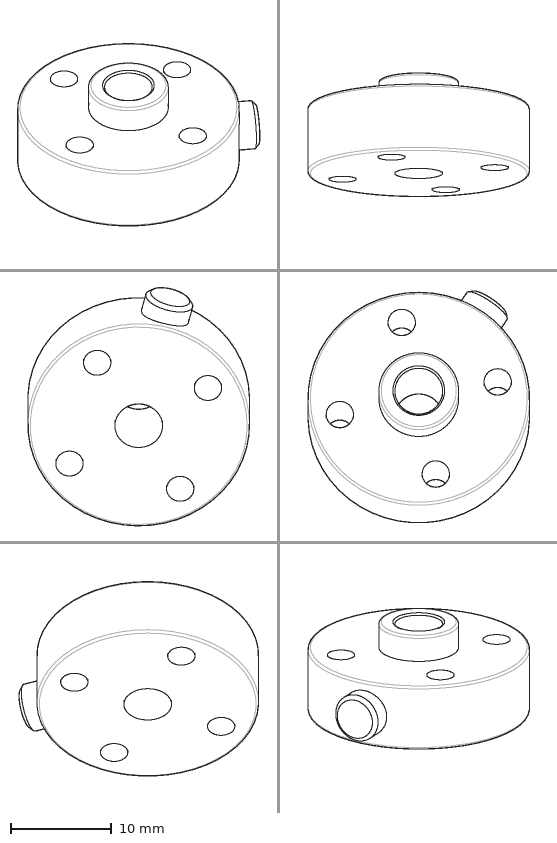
import cadquery as cq
import math

flange_diameter = 22.0
flange_height = 6.7
boss_diameter = 7.92
boss_height = 2.68
edge_fillet = 0.25
bore_diameter = 4.73
bore_chamfer = 0.2
total_height = flange_height + boss_height

mount_hole_diameter = 2.7
mount_hole_count = 4
mount_circle_radius = 8.0

screw_diameter = 4.82
screw_length = 9.9
screw_end_diameter = 4.0
screw_chamfer = (screw_diameter - screw_end_diameter) / 2
screw_head_radius = 12.9
screw_angle = 45.0
screw_tip_radius = screw_head_radius - screw_length
screw_height = flange_height / 2


def radial_cylinder(start_radius, length):
    """Cylinder of the screw's diameter, pointing outward along the screw axis."""
    angle = math.radians(screw_angle)
    direction = cq.Vector(math.cos(angle), math.sin(angle), 0)
    start = direction * start_radius + cq.Vector(0, 0, screw_height)
    return cq.Workplane(cq.Plane(origin=start, normal=direction)).circle(screw_diameter / 2).extrude(length)


def make_hub():
    flange = cq.Workplane("XY").circle(flange_diameter / 2).extrude(flange_height).edges().fillet(edge_fillet)
    boss = cq.Workplane("XY").circle(boss_diameter / 2).extrude(total_height).faces(">Z").edges().fillet(edge_fillet)
    hub = flange.union(boss)

    bore = cq.Workplane("XY").circle(bore_diameter / 2).extrude(total_height)
    hub = hub.cut(bore)
    hub = hub.faces(">Z").edges(cq.selectors.RadiusNthSelector(0)).chamfer(bore_chamfer)

    mount_holes = (
        cq.Workplane("XY")
        .polarArray(mount_circle_radius, 0, 360, mount_hole_count)
        .circle(mount_hole_diameter / 2)
        .extrude(flange_height)
    )
    screw_hole = radial_cylinder(screw_tip_radius, screw_length)
    return hub.cut(mount_holes).cut(screw_hole)


def make_set_screw():
    screw = radial_cylinder(screw_tip_radius, screw_length)
    return screw.faces(">(1, 1, 0)").edges().chamfer(screw_chamfer)


hub = make_hub()
set_screw = make_set_screw()
result = cq.Compound.makeCompound([hub.val(), set_screw.val()])